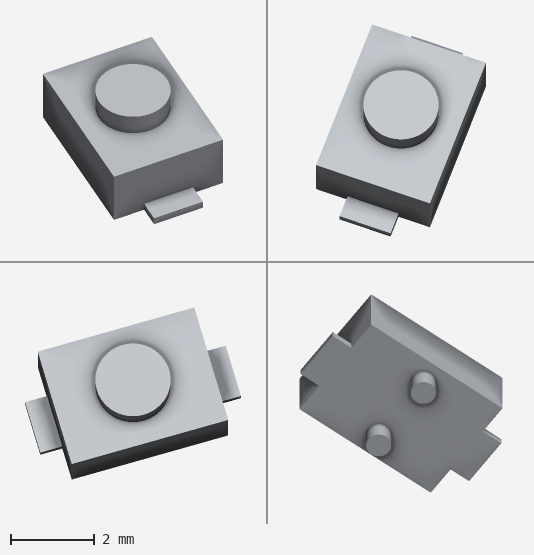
import cadquery as cq

overall_length = 5.0
housing_length = 3.9
housing_width = 2.9
housing_height = 1.45

button_diameter = 1.8
button_height = 0.55

peg_diameter = 0.6
peg_length = 0.5
peg_spacing = 1.8

terminal_width = 1.3
terminal_thickness = 0.2
terminal_length = (overall_length - housing_length) / 2


def make_housing():
    """Switch housing with its round button on top and two locating pegs below; underside at Z = 0."""
    block = cq.Workplane("XY").box(
        housing_length, housing_width, housing_height, centered=(True, True, False)
    )
    button = (
        cq.Workplane("XY")
        .workplane(offset=housing_height)
        .circle(button_diameter / 2)
        .extrude(button_height)
    )
    pegs = (
        cq.Workplane("XY")
        .pushPoints([(0, -peg_spacing / 2), (0, peg_spacing / 2)])
        .circle(peg_diameter / 2)
        .extrude(-peg_length)
    )
    return block.union(button).union(pegs)


def make_terminal(side):
    """Flat terminal butting against one end of the housing; side is -1 or +1 along X."""
    center_x = side * (housing_length + terminal_length) / 2
    return (
        cq.Workplane("XY")
        .box(terminal_length, terminal_width, terminal_thickness, centered=(True, True, False))
        .translate((center_x, 0, 0))
    )


housing = make_housing()
terminals = [make_terminal(side) for side in (-1, 1)]

result = cq.Compound.makeCompound([housing.val(), *[terminal.val() for terminal in terminals]])